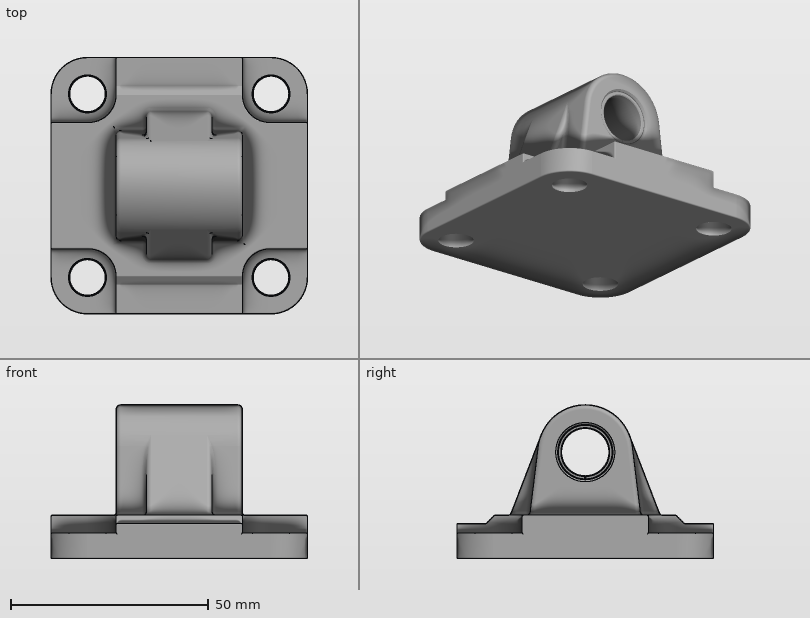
import cadquery as cq
import math

PLATE_SIDE = 65.0
PLATE_TOP = 11.0
STEP_TOP = 8.9
EDGE_ROUND = 0.3

HOLE_PITCH = 46.5
HOLE_DIAMETER = 9.0
HOLE_CHAMFER = 0.3
POCKET_FLOOR = 6.5
DECK_WIDTH = 32.0
POCKET_RADIUS = 7.0

AXIS_HEIGHT = 27.0
LUG_RADIUS = 12.0
LUG_LENGTH = 32.0
LUG_TAPER = 7.0
LUG_RIM_ROUND = 1.2

RIB_WIDTH = 16.6
RIB_TAPER = 21.0
RIB_ROUND = 1.2
ROOT_ROUND = 1.0
END_ROOT_ROUND = 0.6

BORE_DIAMETER = 12.0
SEAT_DIAMETER = 14.0
SEAT_CHAMFER = 0.5
BUSH_CHAMFER = 0.2
BUSH_SLIT = 0.2

MARGIN = 0.1

HALF_SIDE = PLATE_SIDE / 2
CORNER_RADIUS = (PLATE_SIDE - HOLE_PITCH) / 2
STEP_HEAD_Y = DECK_WIDTH / 2 + POCKET_RADIUS
STEP_FOOT_Y = STEP_HEAD_Y + PLATE_TOP - STEP_TOP


def make_slab():
    """Rounded square that carries the floors of the corner pockets."""
    return (
        cq.Workplane("XY")
        .rect(PLATE_SIDE, PLATE_SIDE)
        .extrude(POCKET_FLOOR)
        .edges("|Z")
        .fillet(CORNER_RADIUS)
        .faces(">Z")
        .edges()
        .fillet(EDGE_ROUND)
    )


def make_deck():
    """Raised cross between the pockets, stepped down at its +Y and -Y ends."""
    arm_along_x = (
        cq.Workplane("XY")
        .rect(PLATE_SIDE, DECK_WIDTH)
        .extrude(PLATE_TOP)
        .edges("|Z")
        .fillet(EDGE_ROUND)
    )
    arm_along_y = (
        cq.Workplane("YZ")
        .polyline([
            (-HALF_SIDE, 0),
            (-HALF_SIDE, STEP_TOP),
            (-STEP_FOOT_Y, STEP_TOP),
            (-STEP_HEAD_Y, PLATE_TOP),
            (STEP_HEAD_Y, PLATE_TOP),
            (STEP_FOOT_Y, STEP_TOP),
            (HALF_SIDE, STEP_TOP),
            (HALF_SIDE, 0),
        ])
        .close()
        .extrude(DECK_WIDTH / 2, both=True)
        .edges("|Z")
        .fillet(EDGE_ROUND)
    )
    near_centre = cq.selectors.BoxSelector(
        (-STEP_HEAD_Y, -STEP_HEAD_Y, 0), (STEP_HEAD_Y, STEP_HEAD_Y, PLATE_TOP)
    )
    cross = arm_along_x.union(arm_along_y)
    cross = cross.edges("|Z").edges(near_centre).fillet(POCKET_RADIUS)
    return cross.edges("not(|Z or <Z)").fillet(EDGE_ROUND)


def make_arch(length, taper):
    """Round-topped arch along X whose flanks leave the arc at a tangent."""
    angle = math.radians(taper)
    tangent_y = LUG_RADIUS * math.cos(angle)
    tangent_z = AXIS_HEIGHT + LUG_RADIUS * math.sin(angle)
    foot_y = tangent_y + (tangent_z - PLATE_TOP) * math.tan(angle)
    return (
        cq.Workplane("YZ")
        .moveTo(-foot_y, PLATE_TOP)
        .lineTo(-tangent_y, tangent_z)
        .threePointArc((0, AXIS_HEIGHT + LUG_RADIUS), (tangent_y, tangent_z))
        .lineTo(foot_y, PLATE_TOP)
        .close()
        .extrude(length / 2, both=True)
    )


def round_between(body, low, high, radius):
    """Round the edges that lie wholly between two opposite corners of a box."""
    return body.edges(cq.selectors.BoxSelector(low, high, boundingbox=True)).fillet(radius)


def blend_flank_roots(body):
    """Blend the lug flanks and ribs into the deck, and the rib sides into the lug."""
    reach_x = LUG_LENGTH / 2 + MARGIN
    inner_y = LUG_RADIUS * math.cos(math.radians(RIB_TAPER)) - MARGIN
    outer_y = STEP_HEAD_Y - MARGIN
    foot_top = PLATE_TOP + MARGIN
    root_inner_x = RIB_WIDTH / 2 - RIB_ROUND - MARGIN
    root_outer_x = RIB_WIDTH / 2 + MARGIN
    root_y = LUG_RADIUS + 2 * ROOT_ROUND
    root_top = AXIS_HEIGHT + LUG_RADIUS
    spans = [
        ((-reach_x, inner_y, PLATE_TOP - MARGIN), (reach_x, outer_y, foot_top)),
        ((-reach_x, -outer_y, PLATE_TOP - MARGIN), (reach_x, -inner_y, foot_top)),
        ((-root_outer_x, -root_y, PLATE_TOP), (-root_inner_x, root_y, root_top)),
        ((root_inner_x, -root_y, PLATE_TOP), (root_outer_x, root_y, root_top)),
    ]
    edges = sum(
        (body.edges(cq.selectors.BoxSelector(low, high, boundingbox=True)).vals() for low, high in spans),
        [],
    )
    return body.newObject(edges).fillet(ROOT_ROUND)


def round_lug_end(body, side):
    """Blend the foot of one lug end into the deck, then round that end's outline."""
    end_x = side * LUG_LENGTH / 2
    reach_y = STEP_HEAD_Y - MARGIN
    foot_low = (end_x - MARGIN, -reach_y, PLATE_TOP - MARGIN)
    foot_high = (end_x + MARGIN, reach_y, PLATE_TOP + MARGIN)
    rim_low = (end_x - MARGIN, -reach_y, PLATE_TOP + MARGIN)
    rim_high = (end_x + MARGIN, reach_y, AXIS_HEIGHT + LUG_RADIUS + MARGIN)
    body = round_between(body, foot_low, foot_high, END_ROOT_ROUND)
    return round_between(body, rim_low, rim_high, LUG_RIM_ROUND)


def make_hole_cutters():
    """Mounting holes with a small chamfer at each pocket floor."""
    rim_radius = HOLE_DIAMETER / 2 + HOLE_CHAMFER
    profile = (
        cq.Workplane("XZ")
        .polyline([
            (0, 0),
            (HOLE_DIAMETER / 2, 0),
            (HOLE_DIAMETER / 2, POCKET_FLOOR - HOLE_CHAMFER),
            (rim_radius, POCKET_FLOOR),
            (0, POCKET_FLOOR),
        ])
        .close()
    )
    cutter = profile.revolve(360, (0, 0, 0), (0, 1, 0)).val()
    return (
        cq.Workplane("XY")
        .rect(HOLE_PITCH, HOLE_PITCH, forConstruction=True)
        .vertices()
        .eachpoint(lambda place: cutter.moved(place))
    )


def make_bore_cutter():
    """Cross bore with a chamfered seat, the ends of its bush and the slit under the bush."""
    bore_radius = BORE_DIAMETER / 2
    seat_radius = SEAT_DIAMETER / 2
    half_length = LUG_LENGTH / 2
    bush_end = half_length - SEAT_CHAMFER
    bush_shoulder = bush_end - BUSH_CHAMFER
    half_profile = [
        (half_length, seat_radius + SEAT_CHAMFER),
        (bush_end, seat_radius),
        (bush_shoulder, seat_radius),
        (bush_end, seat_radius - BUSH_CHAMFER),
        (bush_end, bore_radius + BUSH_CHAMFER),
        (bush_shoulder, bore_radius),
    ]
    left_end = [(-along, -radius) for along, radius in half_profile]
    right_end = [(along, -radius) for along, radius in reversed(half_profile)]
    bore = (
        cq.Workplane("XZ")
        .polyline([(-half_length, 0)] + left_end + right_end + [(half_length, 0)])
        .close()
        .revolve(360, (0, 0, 0), (1, 0, 0))
    )
    slit = (
        cq.Workplane("XY", origin=(0, 0, -seat_radius))
        .rect(2 * bush_end, BUSH_SLIT)
        .extrude(seat_radius)
    )
    return bore.union(slit).translate((0, 0, AXIS_HEIGHT))


plate = make_slab().union(make_deck()).faces("<Z").edges().fillet(EDGE_ROUND)
lug = make_arch(LUG_LENGTH, LUG_TAPER)
rib = make_arch(RIB_WIDTH, RIB_TAPER).faces("<X or >X").edges("not <Z").fillet(RIB_ROUND)
body = blend_flank_roots(plate.union(lug).union(rib))
for side in (-1, 1):
    body = round_lug_end(body, side)
result = body.cut(make_hole_cutters()).cut(make_bore_cutter())